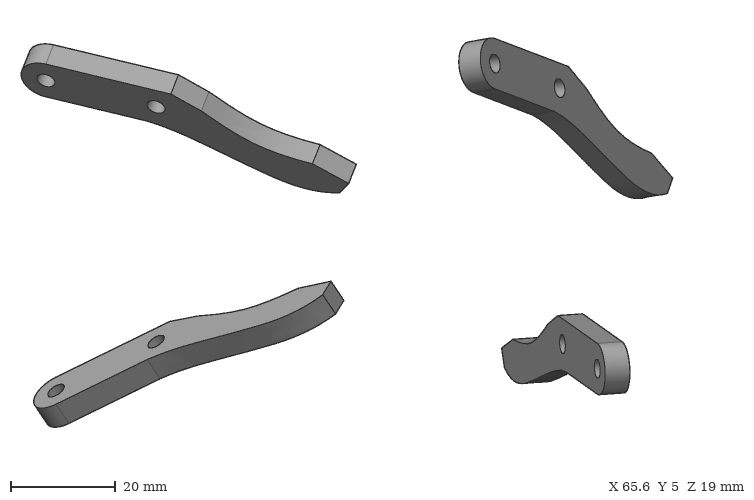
import cadquery as cq

length = 65.55
height = 18.95
thickness = 5.0
end_radius = 5.0
hole_diameter = 3.6
hole_spacing = 22.0

arm_axis_z = height - end_radius
arm_bottom_z = height - 2 * end_radius

arm_top_end = (29.95, height)
slope_end = (36.05, 16.0)
blade_top_corner = (58.3, 8.05)
tip = (length, 4.7)
blade_bottom_corner = (63.7, 1.25)
arm_bottom_end = (25.05, arm_bottom_z)

upper_curve = [(42.9, 11.7), (46.55, 9.95), (50.9, 8.8), blade_top_corner]
lower_curve = [
    (60.45, 0.25),
    (57.25, 0),
    (53.75, 0.3),
    (48.1, 1.9),
    (39.6, 5.0),
    (31.9, 7.7),
    arm_bottom_end,
]


def make_lever():
    """Flat lever: straight arm with a round end, leading into a curved blade."""
    return (
        cq.Workplane("XZ")
        .moveTo(end_radius, height)
        .lineTo(*arm_top_end)
        .lineTo(*slope_end)
        .spline(upper_curve, includeCurrent=True)
        .lineTo(*tip)
        .lineTo(*blade_bottom_corner)
        .spline(lower_curve, includeCurrent=True)
        .lineTo(end_radius, arm_bottom_z)
        .threePointArc((0, arm_axis_z), (end_radius, height))
        .close()
        .extrude(thickness)
    )


def make_hole_cutters():
    """Pivot pin hole at the round end and a second hole along the arm."""
    hole_centres = [(end_radius + i * hole_spacing, arm_axis_z) for i in range(2)]
    return cq.Workplane("XZ").pushPoints(hole_centres).circle(hole_diameter / 2).extrude(thickness)


result = make_lever().cut(make_hole_cutters())